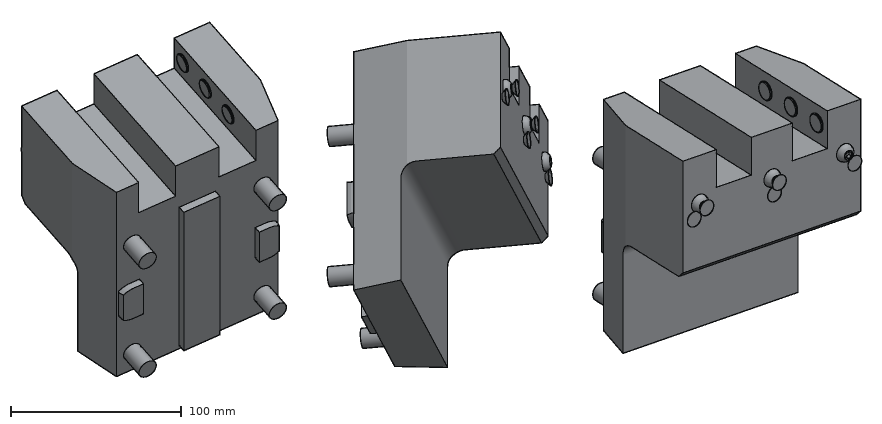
import cadquery as cq
import math

BODY_DEPTH = 90.0
BODY_WIDTH = 130.0
BODY_HEIGHT = 153.0
FOOT_FRONT_X = 60.0
OVERHANG_Z = 75.0
OVERHANG_CHAMFER = 4.0
OVERHANG_FILLET = 10.0
TAPER_START_X = 56.0
TAPER_ANGLE = math.radians(15.0)

CENTRE_POST_WIDTH = 30.0
SLOT_WIDTH = 25.5
SLOT_DEPTH = 25.0

PAD_DIAMETER = 12.0
PAD_HEIGHT = 1.2
PAD_CHAMFER = 0.5
PAD_DROP = 12.0
PAD_FIRST_X = 10.0
PAD_PITCH = 25.0
PAD_COUNT = 3

BUTTON_Z = 121.5
BUTTON_OFFSET_Y = 53.0
BUTTON_BASE_RADIUS = 5.75
BUTTON_TIP_RADIUS = 3.0
BUTTON_HEIGHT = 4.1
BUTTON_BULGE = 0.6
SOCKET_ACROSS_FLATS = 4.0
SOCKET_DEPTH = 2.5

SCREW_HEAD_RADIUS = 5.0
SCREW_SHANK_RADIUS = 2.5
SCREW_RIM = 0.3
TALL_SCREW_REACH = 7.55
SHORT_SCREW_REACH = 2.8
SHORT_SCREW_SPACING = 9.6
SHORT_SCREW_ANGLE = math.radians(36.0)

BACK_CENTRE_Z = 60.0
KEY_THICKNESS = 5.0
KEY_WIDTH = 25.0
KEY_HEIGHT = 115.0
SIDE_KEY_THICKNESS = 4.5
SIDE_KEY_INNER_Y = 40.0
SIDE_KEY_ROUND_Y = 47.0
SIDE_KEY_END_Y = 54.6
SIDE_KEY_STRAIGHT = 1.6
PIN_DIAMETER = 12.0
PIN_LENGTH = 17.0
PIN_OFFSET = 45.0


def make_body():
    side = (
        cq.Workplane("XZ")
        .moveTo(0, BODY_HEIGHT)
        .lineTo(0, OVERHANG_Z + OVERHANG_CHAMFER)
        .lineTo(OVERHANG_CHAMFER, OVERHANG_Z)
        .lineTo(FOOT_FRONT_X - OVERHANG_FILLET, OVERHANG_Z)
        .radiusArc((FOOT_FRONT_X, OVERHANG_Z - OVERHANG_FILLET), OVERHANG_FILLET)
        .lineTo(FOOT_FRONT_X, 0)
        .lineTo(BODY_DEPTH, 0)
        .lineTo(BODY_DEPTH, BODY_HEIGHT)
        .close()
        .extrude(BODY_WIDTH / 2, both=True)
    )
    half_width = BODY_WIDTH / 2
    back_half_width = half_width - (BODY_DEPTH - TAPER_START_X) * math.tan(TAPER_ANGLE)
    plan = (
        cq.Workplane("XY")
        .polyline([
            (0, -half_width),
            (TAPER_START_X, -half_width),
            (BODY_DEPTH, -back_half_width),
            (BODY_DEPTH, back_half_width),
            (TAPER_START_X, half_width),
            (0, half_width),
        ])
        .close()
        .extrude(BODY_HEIGHT)
    )
    return side.intersect(plan)


def cut_slots(body):
    slot_centre_y = (CENTRE_POST_WIDTH + SLOT_WIDTH) / 2
    for side in (-1, 1):
        slot = cq.Workplane("XY").box(
            BODY_DEPTH, SLOT_WIDTH, SLOT_DEPTH, centered=(False, True, False)
        ).translate((0, side * slot_centre_y, BODY_HEIGHT - SLOT_DEPTH))
        body = body.cut(slot)
    return body


def add_pads(body):
    wall_y = CENTRE_POST_WIDTH / 2 + SLOT_WIDTH
    for side in (-1, 1):
        for index in range(PAD_COUNT):
            centre = cq.Vector(PAD_FIRST_X + index * PAD_PITCH, side * wall_y, BODY_HEIGHT - PAD_DROP)
            wall = cq.Plane(origin=centre, xDir=(1, 0, 0), normal=(0, -side, 0))
            pad = (
                cq.Workplane(wall)
                .circle(PAD_DIAMETER / 2)
                .extrude(PAD_HEIGHT)
                .faces(cq.selectors.DirectionMinMaxSelector(wall.zDir, True))
                .chamfer(PAD_CHAMFER)
            )
            body = body.union(pad)
    return body


def revolve_on_front(profile, y, z):
    """Revolve an (x, radius) half profile about X and move its axis to (y, z)."""
    return profile.close().revolve(360, (0, 0, 0), (1, 0, 0)).translate((0, y, z))


def button_head(y):
    middle_radius = (BUTTON_BASE_RADIUS + BUTTON_TIP_RADIUS) / 2 + BUTTON_BULGE
    dome_middle = (-BUTTON_HEIGHT / 2 - BUTTON_BULGE, middle_radius)
    profile = (
        cq.Workplane("XY")
        .lineTo(0, BUTTON_BASE_RADIUS)
        .threePointArc(dome_middle, (-BUTTON_HEIGHT, BUTTON_TIP_RADIUS))
        .lineTo(-BUTTON_HEIGHT, 0)
    )
    socket = (
        cq.Workplane("YZ", origin=(-BUTTON_HEIGHT, y, BUTTON_Z))
        .polygon(6, SOCKET_ACROSS_FLATS, circumscribed=True)
        .extrude(SOCKET_DEPTH)
    )
    return revolve_on_front(profile, y, BUTTON_Z).cut(socket)


def countersunk_screw(y, z, reach):
    """A screw whose wide flat end lies `reach` in front of the body."""
    cone_start = SCREW_RIM - reach
    cone_end = cone_start + SCREW_HEAD_RADIUS - SCREW_SHANK_RADIUS
    profile = (
        cq.Workplane("XY")
        .moveTo(-reach, 0)
        .lineTo(-reach, SCREW_HEAD_RADIUS)
        .lineTo(cone_start, SCREW_HEAD_RADIUS)
        .lineTo(cone_end, SCREW_SHANK_RADIUS)
    )
    if cone_end < 0:
        profile = profile.lineTo(0, SCREW_SHANK_RADIUS)
    return revolve_on_front(profile.lineTo(max(cone_end, 0), 0), y, z)


def add_front_screws(body):
    """Three button heads, a short screw below each, and tall screws on all but the -Y head."""
    for side in (-1, 0, 1):
        button_y = side * BUTTON_OFFSET_Y
        body = body.union(button_head(button_y))
        short_y = button_y + side * SHORT_SCREW_SPACING * math.sin(SHORT_SCREW_ANGLE)
        short_drop = SHORT_SCREW_SPACING * math.cos(side * SHORT_SCREW_ANGLE)
        body = body.union(countersunk_screw(short_y, BUTTON_Z - short_drop, SHORT_SCREW_REACH))
        if side >= 0:
            body = body.union(countersunk_screw(button_y, BUTTON_Z, TALL_SCREW_REACH))
    return body


def make_upright_key():
    return (
        cq.Workplane("YZ", origin=(BODY_DEPTH, 0, BACK_CENTRE_Z))
        .rect(KEY_WIDTH, KEY_HEIGHT)
        .extrude(KEY_THICKNESS)
    )


def make_side_key():
    """The round-ended key on the +Y side, its tip cut off by a tapered plane."""
    radius = KEY_WIDTH / 2
    rounded = (
        cq.Workplane("YZ", origin=(BODY_DEPTH, 0, BACK_CENTRE_Z))
        .moveTo(SIDE_KEY_INNER_Y, -radius)
        .lineTo(SIDE_KEY_ROUND_Y, -radius)
        .threePointArc((SIDE_KEY_ROUND_Y + radius, 0), (SIDE_KEY_ROUND_Y, radius))
        .lineTo(SIDE_KEY_INNER_Y, radius)
        .close()
        .extrude(SIDE_KEY_THICKNESS)
    )
    back_x = BODY_DEPTH + SIDE_KEY_THICKNESS
    tip_y = SIDE_KEY_END_Y - (SIDE_KEY_THICKNESS - SIDE_KEY_STRAIGHT) * math.tan(TAPER_ANGLE)
    plan = (
        cq.Workplane("XY", origin=(0, 0, BACK_CENTRE_Z))
        .polyline([
            (BODY_DEPTH, SIDE_KEY_INNER_Y),
            (BODY_DEPTH, SIDE_KEY_END_Y),
            (BODY_DEPTH + SIDE_KEY_STRAIGHT, SIDE_KEY_END_Y),
            (back_x, tip_y),
            (back_x, SIDE_KEY_INNER_Y),
        ])
        .close()
        .extrude(radius, both=True)
    )
    return rounded.intersect(plan)


def make_pins():
    return (
        cq.Workplane("YZ", origin=(BODY_DEPTH, 0, BACK_CENTRE_Z))
        .rect(2 * PIN_OFFSET, 2 * PIN_OFFSET, forConstruction=True)
        .vertices()
        .circle(PIN_DIAMETER / 2)
        .extrude(PIN_LENGTH)
    )


side_key = make_side_key()

result = cut_slots(make_body())
result = add_pads(result)
result = add_front_screws(result)
result = result.union(make_upright_key())
result = result.union(side_key).union(side_key.mirror("XZ"))
result = result.union(make_pins())